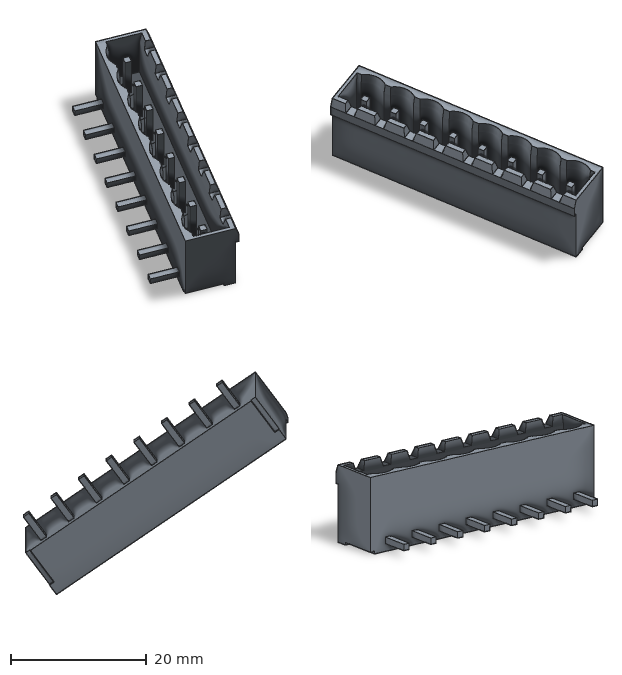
import cadquery as cq

pin_count = 8
end_margin = 3.3
pin_size = 1.0
pin_row_y = 3.83
pin_top_drop = 1.87
tail_length = 4.5
tail_bottom_z = 1.25
seat_diameter = 2.6
seat_depth = 0.25

length = 41.6
depth = 7.8
height = 12.0

side_wall = 0.55
front_wall = 1.45
back_wall = 1.15
scallop_radius = 3.1
front_chamfer = 0.2
floor_z = 3.5
lead_in = 0.355
lead_in_depth = 1.62

ledge_reach = 0.5
ledge_height = 3.0
ledge_slope = 1.37

notch_depth = ledge_slope
notch_floor_width = 1.37
notch_top_width = 2.12

relief_width = 0.8
relief_length = 6.05
relief_height = 0.4

pitch = (length - 2 * end_margin) / (pin_count - 1)
pin_positions = [(i - (pin_count - 1) / 2) * pitch for i in range(pin_count)]
cavity_back = depth - back_wall
cavity_length = length - 2 * side_wall


def extrude_along_x(profile, width):
    """Extrude a list of (y, z) points symmetrically about X = 0."""
    return cq.Workplane("YZ").polyline(profile).close().extrude(width / 2, both=True)


def make_housing():
    """Outer block with the latching ledge along its back."""
    ledge_tip = depth + ledge_reach
    return extrude_along_x(
        [
            (0, 0),
            (depth, 0),
            (depth, height - ledge_height),
            (ledge_tip, height - ledge_height),
            (ledge_tip, height - ledge_slope),
            (depth, height),
            (0, height),
        ],
        length,
    )


def make_scallop(x):
    """Front half of a round pocket, flared at the rim, around one pin."""
    profile = [
        (0, floor_z),
        (scallop_radius - front_chamfer, floor_z),
        (scallop_radius - front_chamfer, height - lead_in_depth),
        (scallop_radius, height),
        (0, height),
    ]
    pocket = (
        cq.Workplane("XZ")
        .polyline(profile)
        .close()
        .revolve(360, (0, 0), (0, 1))
        .translate((x, pin_row_y, 0))
    )
    front_strip = cq.Workplane("XY").box(pitch, pin_row_y, 2 * height)
    return pocket.intersect(front_strip.translate((x, pin_row_y / 2, 0)))


def make_cavity():
    """Open-topped cavity with a scalloped front wall."""
    cavity = extrude_along_x(
        [
            (front_wall + front_chamfer, floor_z),
            (cavity_back, floor_z),
            (cavity_back, height - lead_in_depth),
            (cavity_back + lead_in, height),
            (front_wall, height),
            (front_wall + front_chamfer, height - lead_in_depth),
        ],
        cavity_length,
    )
    for x in pin_positions:
        cavity = cavity.union(make_scallop(x))
    return cavity


def make_notch(x):
    """Tapered notch through the back wall and the ledge."""
    half_floor = notch_floor_width / 2
    half_top = notch_top_width / 2
    profile = [
        (x - half_floor, height - notch_depth),
        (x + half_floor, height - notch_depth),
        (x + half_top, height),
        (x - half_top, height),
    ]
    back = depth + ledge_reach
    return (
        cq.Workplane("XZ", origin=(0, back, 0)).polyline(profile).close().extrude(back - cavity_back)
    )


def make_seat(x):
    """Shallow round recess in the cavity floor."""
    return (
        cq.Workplane("XY", origin=(x, pin_row_y, floor_z - seat_depth))
        .circle(seat_diameter / 2)
        .extrude(seat_depth)
    )


def make_relief(side):
    """Low step at one end of the bottom front edge."""
    edge_x = side * (length - relief_width) / 2
    return cq.Workplane("XY", origin=(edge_x, relief_length / 2, 0)).box(
        relief_width, relief_length, relief_height, centered=(True, True, False)
    )


def make_pin(x):
    """Right-angle pin: upright leg in the cavity, tail out of the front."""
    leg_back = pin_row_y + pin_size / 2
    leg_front = pin_row_y - pin_size / 2
    pin_top = height - pin_top_drop
    tail_top = tail_bottom_z + pin_size
    profile = [
        (-tail_length, tail_bottom_z),
        (leg_back, tail_bottom_z),
        (leg_back, pin_top),
        (leg_front, pin_top),
        (leg_front, tail_top),
        (-tail_length, tail_top),
    ]
    return extrude_along_x(profile, pin_size).translate((x, 0, 0))


result = make_housing().cut(make_cavity())
for side in (-1, 1):
    result = result.cut(make_relief(side))
for x in pin_positions:
    result = result.cut(make_notch(x)).cut(make_seat(x))
for x in pin_positions:
    result = result.union(make_pin(x))